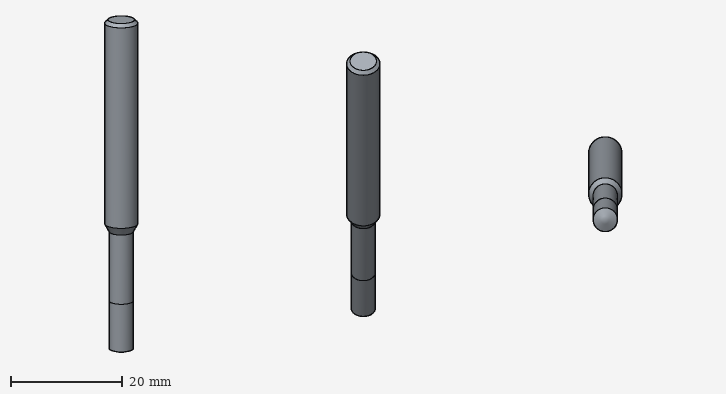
import cadquery as cq
import math

total_length = 62.7
shank_radius = 3.0
cutter_radius = 2.2
point_angle = 140.0
cutter_length = 9.8
neck_top = 22.8
flare_height = 1.5
end_chamfer = 0.6

point_height = cutter_radius / math.tan(math.radians(point_angle / 2))
flare_top = neck_top + flare_height


def make_cutter():
    """Cylindrical cutting end with a conical point."""
    profile = [
        (0, 0),
        (cutter_radius, point_height),
        (cutter_radius, cutter_length),
        (0, cutter_length),
    ]
    return cq.Workplane("XZ").polyline(profile).close().revolve(360, (0, 0), (0, 1))


def make_shank():
    """Neck flush with the cutter, flaring to a thicker shank with a chamfered end."""
    profile = [
        (0, cutter_length),
        (cutter_radius, cutter_length),
        (cutter_radius, neck_top),
        (shank_radius, flare_top),
        (shank_radius, total_length - end_chamfer),
        (shank_radius - end_chamfer, total_length),
        (0, total_length),
    ]
    return cq.Workplane("XZ").polyline(profile).close().revolve(360, (0, 0), (0, 1))


cutter = make_cutter()
shank = make_shank()
result = cq.Compound.makeCompound([cutter.val(), shank.val()])